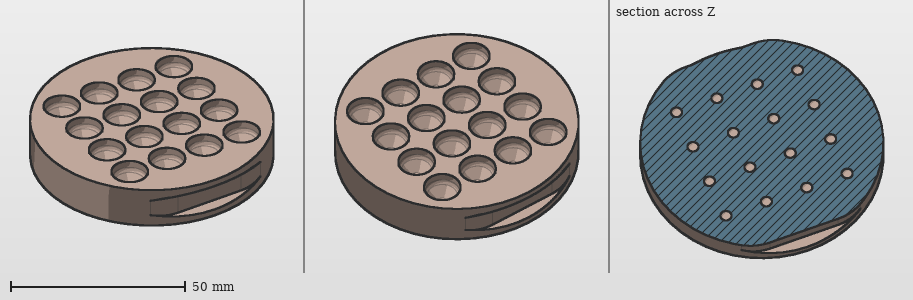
import cadquery as cq
import math

disc_diameter = 70.0
disc_radius = disc_diameter / 2
disc_thickness = 12.5

wells_per_side = 4
well_pitch = 12.5
well_radius = 5.25
well_wall_depth = 2.2
well_wall_curvature = 11.35
well_corner_curvature = 2.45
well_tip_curvature = 2.3
well_cone_tilt = math.radians(45)

grip_wall_x = 32.0
grip_blend_radius = 15.0
grip_mouth_height = 8.25
grip_taper = math.radians(16.7)


def arc_point(start, curvature, start_tilt, end_tilt):
    """Point (radius, z) reached down an arc that turns inward between two tilts from the vertical."""
    return (
        start[0] - curvature * (math.cos(start_tilt) - math.cos(end_tilt)),
        start[1] - curvature * (math.sin(end_tilt) - math.sin(start_tilt)),
    )


def well_cutter():
    """Solid of one well below z = 0: bowed wall, rounded corner, cone and rounded tip, all tangent."""
    wall_tilt = math.asin(well_wall_depth / well_wall_curvature)
    corner_tilt = (wall_tilt + well_cone_tilt) / 2
    tip_tilt = (well_cone_tilt + math.pi / 2) / 2

    rim = (well_radius, 0)
    wall_middle = arc_point(rim, well_wall_curvature, 0, wall_tilt / 2)
    wall_end = arc_point(rim, well_wall_curvature, 0, wall_tilt)
    corner_middle = arc_point(wall_end, well_corner_curvature, wall_tilt, corner_tilt)
    cone_top = arc_point(wall_end, well_corner_curvature, wall_tilt, well_cone_tilt)
    cone_bottom_radius = well_tip_curvature * math.cos(well_cone_tilt)
    cone_height = (cone_top[0] - cone_bottom_radius) / math.tan(well_cone_tilt)
    cone_bottom = (cone_bottom_radius, cone_top[1] - cone_height)
    tip_middle = arc_point(cone_bottom, well_tip_curvature, well_cone_tilt, tip_tilt)
    tip = arc_point(cone_bottom, well_tip_curvature, well_cone_tilt, math.pi / 2)
    return (
        cq.Workplane("XZ")
        .lineTo(*rim)
        .threePointArc(wall_middle, wall_end)
        .threePointArc(corner_middle, cone_top)
        .lineTo(*cone_bottom)
        .threePointArc(tip_middle, (0, tip[1]))
        .close()
        .revolve(360, (0, 0, 0), (0, 1, 0))
    )


def grip_cutter():
    """Solid of the right-hand grip: a tapered band outside the flat and blended wall."""
    blend_center_x = grip_wall_x - grip_blend_radius
    blend_center_distance = disc_radius - grip_blend_radius
    flat_half_width = math.sqrt(blend_center_distance ** 2 - blend_center_x ** 2)
    rim_angle = math.atan2(flat_half_width, blend_center_x)
    rim_x = disc_radius * math.cos(rim_angle)
    rim_y = disc_radius * math.sin(rim_angle)
    middle_x = blend_center_x + grip_blend_radius * math.cos(rim_angle / 2)
    middle_y = flat_half_width + grip_blend_radius * math.sin(rim_angle / 2)
    plan = (
        cq.Workplane("XY")
        .moveTo(grip_wall_x, -flat_half_width)
        .lineTo(grip_wall_x, flat_half_width)
        .threePointArc((middle_x, middle_y), (rim_x, rim_y))
        .threePointArc((disc_radius, 0), (rim_x, -rim_y))
        .threePointArc((middle_x, -middle_y), (grip_wall_x, -flat_half_width))
        .close()
        .extrude(disc_thickness)
    )

    middle_z = disc_thickness / 2
    mouth_half = grip_mouth_height / 2
    inner_half = mouth_half - (disc_radius - blend_center_x) * math.tan(grip_taper)
    wedge = (
        cq.Workplane("XZ")
        .polyline([
            (blend_center_x, middle_z - inner_half),
            (disc_radius, middle_z - mouth_half),
            (disc_radius, middle_z + mouth_half),
            (blend_center_x, middle_z + inner_half),
        ])
        .close()
        .extrude(disc_radius, both=True)
    )
    return plan.intersect(wedge)


disc = cq.Workplane("XY").circle(disc_radius).extrude(disc_thickness)

well_grid_center = (wells_per_side - 1) / 2
well = well_cutter().translate((0, 0, disc_thickness))
for column in range(wells_per_side):
    for row in range(wells_per_side):
        x = (column - well_grid_center) * well_pitch
        y = (row - well_grid_center) * well_pitch
        disc = disc.cut(well.translate((x, y, 0)))

right_grip = grip_cutter()
left_grip = right_grip.mirror("YZ")
result = disc.cut(right_grip).cut(left_grip)